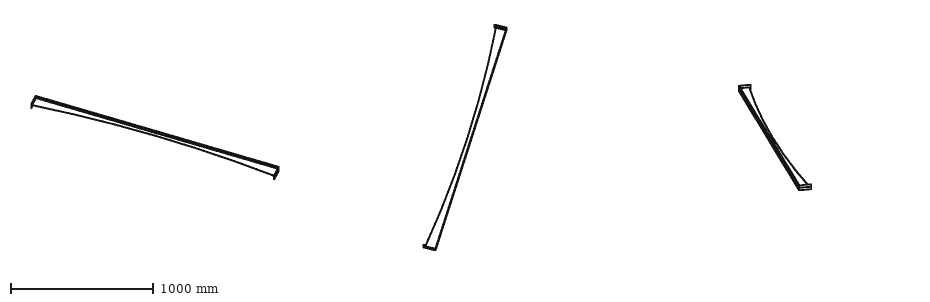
import cadquery as cq

length = 1843.09
flange_height = 38.1
end_plate_depth = 88.9

thickness = 2.54

web_end_depth = 76.2
web_middle_depth = 27.94

half_length = length / 2
web_half_length = half_length - thickness


def make_upright_plate(x_size, depth, x_center):
    """Plate of full flange height, centred on Z = 0, reaching forward from Y = 0."""
    return (
        cq.Workplane("XY")
        .box(x_size, depth, flange_height)
        .translate((x_center, -depth / 2, 0))
    )


def make_web():
    """Flat web at mid height whose front edge is an arc, shallowest at mid length."""
    return (
        cq.Workplane("XY")
        .workplane(offset=-thickness / 2)
        .moveTo(-web_half_length, 0)
        .lineTo(web_half_length, 0)
        .lineTo(web_half_length, -web_end_depth)
        .threePointArc((0, -web_middle_depth), (-web_half_length, -web_end_depth))
        .close()
        .extrude(thickness)
    )


back_flange = make_upright_plate(length, thickness, 0)
result = back_flange.union(make_web())
for side in (-1, 1):
    end_plate_x = side * (half_length - thickness / 2)
    result = result.union(make_upright_plate(thickness, end_plate_depth, end_plate_x))